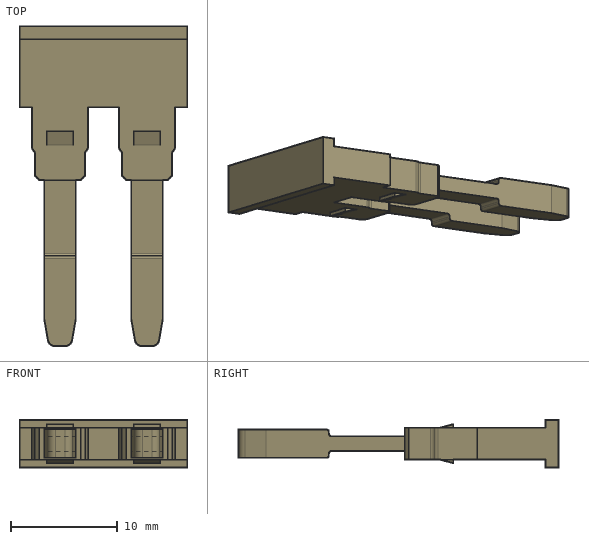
import cadquery as cq
import math


HEAD_WIDTH = 15.8
TOTAL_LENGTH = 30.16
FLANGE_HEIGHT = 4.5
POLE_COUNT = 2
POLE_PITCH = 8.2

BACK_Y = TOTAL_LENGTH / 2
FLANGE_LENGTH = 1.25
BODY_THICKNESS = 3.0
HEAD_LENGTH = 7.65

LEG_WIDTH = 5.3
LEG_END = 14.5
LEG_CHAMFER = 0.4
NECK_START = 11.37
NECK_RADIUS = 0.5
NECK_ARC_ANGLE = math.radians(45)

LATCH_WIDTH = 2.5
LATCH_START = 9.9
LATCH_LENGTH = 1.3
LATCH_HEIGHT = 0.35

PIN_WIDTH = 3.0
SHANK_THICKNESS = 1.4
BLADE_THICKNESS = 2.7
BLADE_START = 21.63
STEP_RADIUS = 0.25
TAPER_START = 27.6
TAPER_ANGLE = math.radians(10)
TIP_RADIUS = 0.7


def y_at(distance):
    """Y coordinate at a distance from the flange's back face."""
    return BACK_Y - distance


def slab(width, start, end, thickness):
    """Box centred on X and Z between two distances from the back face."""
    return cq.Workplane("XY").box(width, end - start, thickness).translate((0, y_at((start + end) / 2), 0))


def make_head():
    flange = slab(HEAD_WIDTH, 0, FLANGE_LENGTH, FLANGE_HEIGHT)
    return flange.union(slab(HEAD_WIDTH, 0, HEAD_LENGTH, BODY_THICKNESS))


def make_leg():
    """Leg whose sides narrow through an S-curve of two equal arcs and end in chamfered corners."""
    arc_inset = NECK_RADIUS * (1 - math.cos(NECK_ARC_ANGLE))
    arc_length = NECK_RADIUS * math.sin(NECK_ARC_ANGLE)
    wide_x = LEG_WIDTH / 2
    middle_x = wide_x - arc_inset
    narrow_x = middle_x - arc_inset
    neck_middle = NECK_START + arc_length
    neck_end = neck_middle + arc_length
    half_leg = (
        cq.Workplane("XY")
        .workplane(offset=-BODY_THICKNESS / 2)
        .moveTo(0, y_at(HEAD_LENGTH))
        .lineTo(wide_x, y_at(HEAD_LENGTH))
        .lineTo(wide_x, y_at(NECK_START))
        .radiusArc((middle_x, y_at(neck_middle)), NECK_RADIUS)
        .radiusArc((narrow_x, y_at(neck_end)), -NECK_RADIUS)
        .lineTo(narrow_x, y_at(LEG_END - LEG_CHAMFER))
        .lineTo(narrow_x - LEG_CHAMFER, y_at(LEG_END))
        .lineTo(0, y_at(LEG_END))
        .close()
        .extrude(BODY_THICKNESS)
    )
    return half_leg.union(half_leg.mirror("YZ"))


def make_latches():
    """Pair of wedges, steep toward the flange and sloping down to the leg face toward the pin."""
    face_z = BODY_THICKNESS / 2
    upper = (
        cq.Workplane("YZ")
        .moveTo(y_at(LATCH_START), 0)
        .lineTo(y_at(LATCH_START), face_z + LATCH_HEIGHT)
        .lineTo(y_at(LATCH_START + LATCH_LENGTH), face_z)
        .lineTo(y_at(LATCH_START + LATCH_LENGTH), 0)
        .close()
        .extrude(LATCH_WIDTH / 2, both=True)
    )
    return upper.union(upper.mirror("XY"))


def make_pin():
    """Thin shank stepping up to a thicker blade with rounded steps and a tapered, rounded tip."""
    half_width = PIN_WIDTH / 2
    tip_half_width = half_width - (TOTAL_LENGTH - TAPER_START) * math.tan(TAPER_ANGLE)
    blade = (
        cq.Workplane("XY")
        .workplane(offset=-BLADE_THICKNESS / 2)
        .moveTo(-half_width, y_at(BLADE_START))
        .lineTo(half_width, y_at(BLADE_START))
        .lineTo(half_width, y_at(TAPER_START))
        .lineTo(tip_half_width, y_at(TOTAL_LENGTH))
        .lineTo(-tip_half_width, y_at(TOTAL_LENGTH))
        .lineTo(-half_width, y_at(TAPER_START))
        .close()
        .extrude(BLADE_THICKNESS)
        .faces("<Y")
        .edges("|Z")
        .fillet(TIP_RADIUS)
        .faces(">Y")
        .edges("|X")
        .fillet(STEP_RADIUS)
    )
    shank = slab(PIN_WIDTH, HEAD_LENGTH, TAPER_START, SHANK_THICKNESS)
    shank_z = SHANK_THICKNESS / 2
    upper_web = (
        cq.Workplane("YZ")
        .moveTo(y_at(BLADE_START), shank_z)
        .lineTo(y_at(BLADE_START - STEP_RADIUS), shank_z)
        .radiusArc((y_at(BLADE_START), shank_z + STEP_RADIUS), STEP_RADIUS)
        .close()
        .extrude(half_width, both=True)
    )
    return blade.union(shank).union(upper_web).union(upper_web.mirror("XY"))


pole = make_leg().union(make_latches()).union(make_pin())

result = make_head()
for index in range(POLE_COUNT):
    pole_x = (index - (POLE_COUNT - 1) / 2) * POLE_PITCH
    result = result.union(pole.translate((pole_x, 0, 0)))